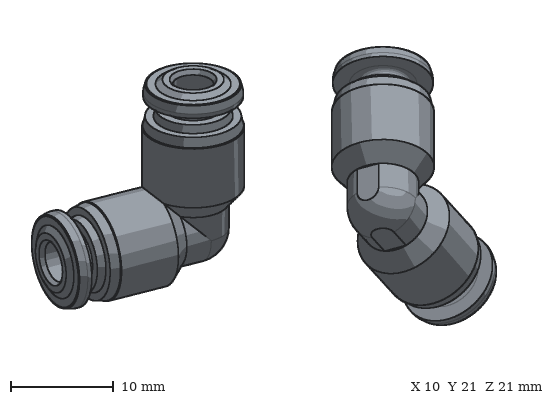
import cadquery as cq
import math

leg_length = 16.0

pipe_radius = 3.5
pipe_flat_distance = 3.3
shoulder_start = 2.72

body_diameter = 10.0
body_radius = body_diameter / 2
body_start = 4.52
body_end = 10.91
body_edge_break = 0.08
body_nose_radius = 4.7
body_nose_end = 12.03

collar_base_radius = 3.88
collar_tip_radius = 3.68
collar_end = 12.88

neck_diameter = 5.5
neck_radius = neck_diameter / 2
neck_end = 13.65
neck_flare_radius = 0.55
flange_diameter = 9.8
flange_radius = flange_diameter / 2
flange_start = neck_end + neck_flare_radius
flange_taper_start = 14.68
flange_tip_radius = 4.7
flange_taper_end = 15.46
flange_face_radius = 4.55
flange_end = 15.52
tip_base_radius = 3.68
tip_radius = 3.0

mouth_radius = 2.3
mouth_depth = 0.5
tube_diameter = 4.0
tube_radius = tube_diameter / 2
tube_stop = 7.0
bore_diameter = 3.0
bore_radius = bore_diameter / 2


def vertical_pipe():
    """Plain pipe running from the corner up to the shoulder."""
    return cq.Workplane("XY").circle(pipe_radius).extrude(shoulder_start)


def flat_limits():
    """Block whose +Y and -Z faces are the flats on the back and underside of the pipe."""
    size = 2 * leg_length
    return cq.Workplane("XY").box(size, size, size).translate(
        (0, pipe_flat_distance - size / 2, size / 2 - pipe_flat_distance)
    )


def vertical_leg():
    """Solid outer shape of one leg above its pipe, revolved about Z."""
    flare_mid = neck_flare_radius * (1 - math.cos(math.radians(45)))
    profile = (
        cq.Workplane("XZ")
        .moveTo(0, shoulder_start)
        .lineTo(pipe_radius, shoulder_start)
        .lineTo(body_radius, body_start)
        .lineTo(body_radius, body_end)
        .lineTo(body_radius - body_edge_break, body_end + body_edge_break)
        .lineTo(body_nose_radius, body_nose_end)
        .lineTo(collar_base_radius, body_nose_end)
        .lineTo(collar_tip_radius, collar_end)
        .lineTo(neck_radius, collar_end)
        .lineTo(neck_radius, neck_end)
        .threePointArc(
            (neck_radius + flare_mid, flange_start - flare_mid),
            (neck_radius + neck_flare_radius, flange_start),
        )
        .lineTo(flange_radius, flange_start)
        .lineTo(flange_radius, flange_taper_start)
        .lineTo(flange_tip_radius, flange_taper_end)
        .lineTo(flange_face_radius, flange_end)
        .lineTo(tip_base_radius, flange_end)
        .lineTo(tip_radius, leg_length)
        .lineTo(0, leg_length)
        .close()
    )
    return profile.revolve(360, (0, 0, 0), (0, 1, 0))


def vertical_passage():
    """Tube socket and bore of one leg, revolved about Z."""
    profile = (
        cq.Workplane("XZ")
        .lineTo(bore_radius, 0)
        .lineTo(bore_radius, tube_stop)
        .lineTo(tube_radius, tube_stop)
        .lineTo(tube_radius, leg_length - mouth_depth)
        .lineTo(mouth_radius, leg_length)
        .lineTo(0, leg_length)
        .close()
    )
    return profile.revolve(360, (0, 0, 0), (0, 1, 0))


def with_forward_copy(leg):
    """Join an upward leg with its copy facing -Y."""
    forward_leg = leg.rotate((0, 0, 0), (1, 0, 0), 90)
    return leg.union(forward_leg)


def rounded_elbow(leg, corner_radius):
    """Two legs meeting at a ball-shaped corner."""
    corner = cq.Workplane("XY").sphere(corner_radius)
    return with_forward_copy(leg).union(corner)


pipe = rounded_elbow(vertical_pipe(), pipe_radius).intersect(flat_limits())
outer = pipe.union(with_forward_copy(vertical_leg()))
passage = rounded_elbow(vertical_passage(), bore_radius)
result = outer.cut(passage)